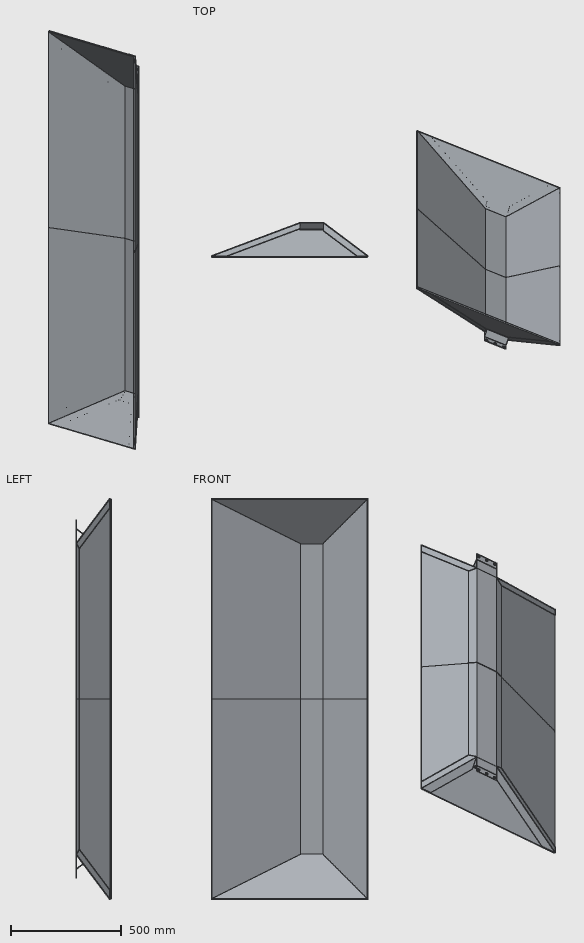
import cadquery as cq
import math

depth = 150.0
left_run = 400.0
back_width = 100.0
right_run = 200.0
end_run = 200.0
half_length = 900.0
opening_width = left_run + back_width + right_run

shell_thickness = 6.0
strip_thickness = 2.0
strip_leg = 35.0
covered_thickness = shell_thickness + strip_thickness

hanger_width = 106.0
tab_overhang = 107.0
foot_reach = 67.0
tab_hole_count = 3
tab_hole_diameter = 12.0
tab_hole_spacing = 42.0
tab_hole_drop = 15.0

block_size = 4 * half_length

back_left = cq.Vector(left_run, depth, 0)
back_right = cq.Vector(left_run + back_width, depth, 0)
end_fold_z = half_length - end_run
fold_left = cq.Vector(left_run, depth, end_fold_z)
fold_right = cq.Vector(left_run + back_width, depth, end_fold_z)
front_left = cq.Vector(0, 0, half_length)
front_right = cq.Vector(opening_width, 0, half_length)

left_rise = cq.Vector(left_run, depth, 0).normalized()
right_rise = cq.Vector(-right_run, depth, 0).normalized()
end_rise = cq.Vector(0, depth, -end_run).normalized()

left_normal = cq.Vector(-depth, left_run, 0).normalized()
right_normal = cq.Vector(depth, right_run, 0).normalized()
end_normal = cq.Vector(0, end_run, depth).normalized()
back_normal = cq.Vector(0, 1, 0)

up = cq.Vector(0, 0, 1)
along_x = cq.Vector(1, 0, 0)

left_spread = covered_thickness * math.tan(math.atan2(depth, left_run) / 2)
right_spread = covered_thickness * math.tan(math.atan2(depth, right_run) / 2)
hanger_middle = (fold_left + fold_right) * 0.5 + along_x * ((right_spread - left_spread) / 2)


def half_space(point, outward):
    """Large block lying behind the plane through the point, on the side opposite to outward."""
    plane = cq.Plane(origin=point.toTuple(), normal=outward.toTuple())
    return cq.Workplane(plane).rect(block_size, block_size).extrude(-block_size)


def common(first, *others):
    """Volume shared by all the given bodies."""
    for other in others:
        first = first.intersect(other)
    return first


def trough_volume(offset):
    """Upper half of the filled trough with its panels moved outwards, open to all sides at the rim."""
    return common(
        half_space(cq.Vector(0, 0, 0), -up),
        half_space(front_left + left_normal * offset, left_normal),
        half_space(front_right + right_normal * offset, right_normal),
        half_space(front_left + end_normal * offset, end_normal),
        half_space(back_left + back_normal * offset, back_normal),
    )


def square_rim(body):
    """Trim the rim of the sheet square to each sloped panel."""
    return common(
        body,
        half_space(front_left, -left_rise),
        half_space(front_right, -right_rise),
        half_space(front_left, -end_rise),
    )


def flush_rim(body):
    """Trim a body flush with the outermost edges of the shell."""
    return common(
        body,
        half_space(front_left + left_normal * shell_thickness, -along_x),
        half_space(front_right + right_normal * shell_thickness, along_x),
        half_space(front_left + end_normal * shell_thickness, up),
    )


strip_layer = flush_rim(trough_volume(covered_thickness).cut(trough_volume(shell_thickness)))


def make_shell():
    """Folded sheet: two sides, the back and one end."""
    return square_rim(trough_volume(shell_thickness).cut(trough_volume(0)))


def mitre_limit(corner, rise, normal, corner_line):
    """Half-space below the line that halves a side panel's angle between back fold and end fold."""
    bisector = corner_line.normalized() - up
    towards_end = bisector.cross(normal).normalized()
    if towards_end.z < 0:
        towards_end = -towards_end
    return half_space(corner, towards_end)


def make_back_channel():
    """Channel over the back panel with a flange on each side panel and a drilled tab past the end."""
    channel = common(
        strip_layer,
        half_space(back_left - left_rise * strip_leg, -left_rise),
        half_space(back_right - right_rise * strip_leg, -right_rise),
        mitre_limit(fold_left, left_rise, left_normal, front_left - fold_left),
        mitre_limit(fold_right, right_rise, right_normal, front_right - fold_right),
        half_space(fold_left, end_normal - back_normal),
    )
    tab_top = cq.Vector(0, 0, end_fold_z + tab_overhang)
    tab = common(
        half_space(fold_left, -up),
        half_space(tab_top, up),
        half_space(back_left + back_normal * shell_thickness, -back_normal),
        half_space(back_left + back_normal * covered_thickness, back_normal),
        hanger_slab(),
    )
    holes = (
        cq.Workplane("XZ", origin=(hanger_middle.x, 0, tab_top.z - tab_hole_drop))
        .rarray(tab_hole_spacing, 1, tab_hole_count, 1)
        .circle(tab_hole_diameter / 2)
        .extrude(-block_size)
    )
    return channel.union(tab.cut(holes))


def hanger_slab():
    """Full-height slab as wide as the hanger, centred on the back panel."""
    return cq.Workplane("XY", origin=(hanger_middle.x, 0, 0)).box(hanger_width, block_size, block_size)


def make_corner_angle(front_corner, fold_corner, side_normal, towards_hanger, channel):
    """Angle strip over the edge between a side panel and the end, stopping beside the hanger."""
    edge = (fold_corner - front_corner).normalized()
    into_side = edge.cross(side_normal)
    if into_side.z > 0:
        into_side = -into_side
    into_end = edge.cross(end_normal)
    if into_end.dot(towards_hanger) < 0:
        into_end = -into_end
    hanger_side = hanger_middle - towards_hanger * (hanger_width / 2)
    legs = common(
        strip_layer,
        half_space(hanger_side, towards_hanger),
        half_space(front_corner + into_side * strip_leg, into_side),
        half_space(front_corner + into_end * strip_leg, into_end),
    )
    return legs.cut(channel)


def make_foot():
    """Angle with a leg lying on the end and a foot that reaches squarely back to the tab."""
    tab_inner_y = depth + shell_thickness
    foot_top = cq.Vector(0, tab_inner_y, end_fold_z + foot_reach)
    above = half_space(foot_top, -end_rise)
    foot = common(
        above,
        half_space(foot_top + end_rise * strip_thickness, end_rise),
        half_space(foot_top, back_normal),
        half_space(front_left + end_normal * shell_thickness, -end_normal),
    )
    leg = common(strip_layer, above, half_space(foot_top + end_rise * strip_leg, end_rise))
    return foot.union(leg).intersect(hanger_slab())


shell = make_shell()
back_channel = make_back_channel()
left_angle = make_corner_angle(front_left, fold_left, left_normal, along_x, back_channel)
right_angle = make_corner_angle(front_right, fold_right, right_normal, -along_x, back_channel)
foot = make_foot()

bodies = []
for body in (shell, back_channel, left_angle, right_angle, foot):
    bodies.extend(body.solids().vals())
    bodies.extend(body.mirror("XY").solids().vals())

result = cq.Compound.makeCompound(bodies)